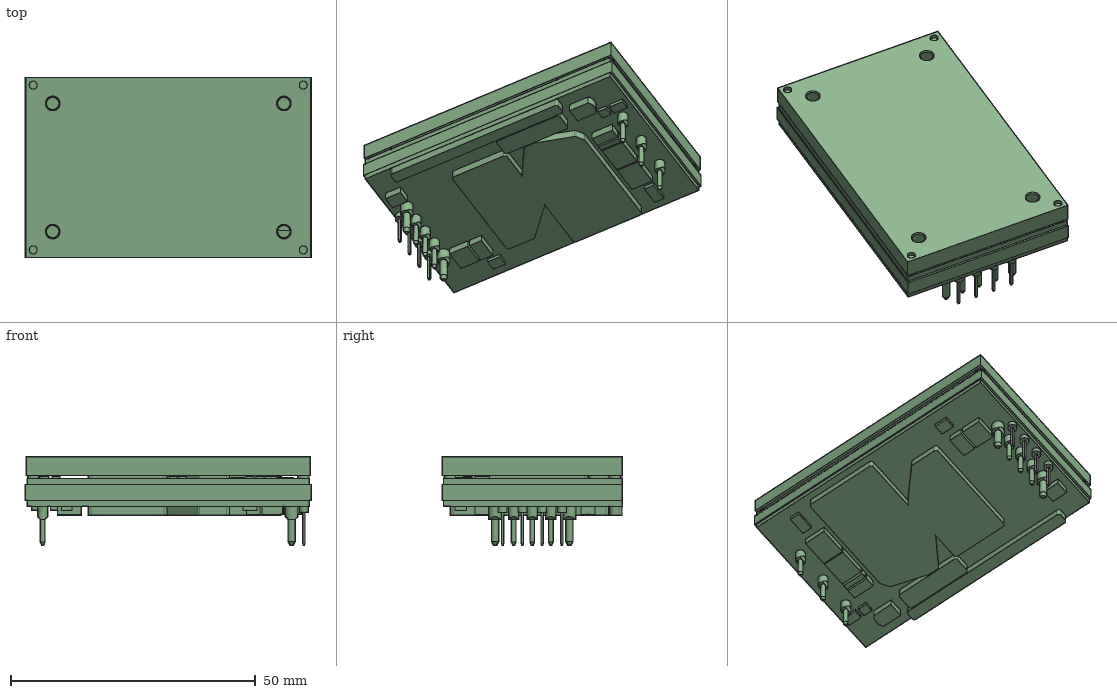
import cadquery as cq


overall_height = 18.1
middle_length = 58.4
middle_width = 36.8
middle_thickness = 3.25
plate_length = 58.0
plate_width = middle_width
plate_thickness = 3.85
board_length = 57.6
board_width = 36.55
board_thickness = 1.2
gap = 0.6

board_y = (middle_width - board_width) / 2

middle_bottom = board_thickness
upper_bottom = middle_bottom + middle_thickness
upper_top = upper_bottom + board_thickness
plate_bottom = upper_top + gap
plate_top = plate_bottom + plate_thickness

mount_x = 23.6
mount_y = 13.1
mount_diameter = 2.5
mount_chamfer = 0.25
chamfer_angle = 90.0
post_x = 27.55
post_y = 16.8
post_diameter = 2.35
blind_diameter = 1.65
blind_depth = 0.75

core_depth = 1.8
core_round = 0.6
core_left = -16.35
core_front = -16.75
core_side = 11.4
main_right = -0.3
side_left = 6.15
side_right = 12.5
side_front = -11.7
back_leg_right = 23.0
back_leg_front = 15.8
back_leg_back = 18.35
middle_leg_left = -15.2
middle_leg_front = 11.55
middle_leg_back = 15.65
main_core = [
    (core_left, core_front),
    (main_right, core_front),
    (main_right, 4.7),
    (-4.7, core_side),
    (-7.0, core_side),
    (-15.2, 8.9),
    (core_left, 7.0),
]
side_core = [
    (side_left, side_front),
    (side_right, side_front),
    (side_right, core_side),
    (main_right, core_side),
    (main_right, -4.7),
]
back_leg = [
    (core_left, back_leg_front),
    (back_leg_right, back_leg_front),
    (back_leg_right, back_leg_back),
    (core_left, back_leg_back),
]
middle_leg = [
    (middle_leg_left, middle_leg_front),
    (main_right, middle_leg_front),
    (main_right, middle_leg_back),
    (middle_leg_left, middle_leg_back),
]
core_outlines = [main_core, side_core, middle_leg, back_leg]

chip_height = 0.4
chips = [
    (-26.2, -24.35, 15.0, 16.95),
    (-23.7, -22.15, 1.65, 3.25),
    (0.25, 1.8, -14.0, -12.25),
    (2.05, 3.7, -14.0, -12.25),
    (15.8, 17.45, -11.7, -8.75),
    (17.85, 19.5, -11.7, -8.75),
    (19.85, 23.1, -11.7, -8.75),
]
film_height = 0.205
films = [
    (12.85, 15.55, -14.0, -12.25),
    (22.2, 25.6, -16.35, -12.9),
]
resistor_depth = 0.8
resistors = [
    (-27.9, -24.8, 9.75, 11.7),
    (-24.05, -22.1, 9.75, 11.7),
    (-21.85, -19.7, -15.95, -11.7),
    (15.3, 18.15, -15.75, -13.45),
]
capacitor_depth = 1.65
capacitors = [
    (-22.6, -17.8, -9.85, -3.75),
    (-22.6, -17.8, -3.5, 2.5),
    (15.95, 18.75, -11.7, -7.0),
    (19.15, 23.4, -11.7, -7.0),
    (23.65, 27.15, 9.9, 12.85),
]
tall_capacitors = [
    (-22.6, -17.8, 2.9, 4.0),
    (-22.6, -17.8, 4.4, 6.6),
]
coil_nose = -22.65
coil_left = -22.1
coil_right = -17.7
coil_y = 14.0
coil_width = 3.25

pin_depth = overall_height - plate_top
left_pin_x = -25.65
right_pin_x = 25.15
pin_pitch = 3.8
outer_pin_y = 2 * pin_pitch
collar_depth = 2.6
thin_pin_diameter = 1.0
thin_collar_diameter = 2.1
thin_tip_length = 0.65
thin_tip_inset = 0.3
thick_pin_diameter = 1.5
thick_collar_diameter = 2.6
thick_tip_length = 0.8
thick_tip_inset = 0.4

signal_x = 27.7
signal_pitch = 6.9
signal_size = 0.495
signal_tip_length = 0.4
signal_tip_inset = 0.1
socket_diameter = 1.8
socket_depth = 1.2


def layer(size_x, size_y, thickness, bottom, center_y=0):
    """Rectangular slab centred on X."""
    return cq.Workplane("XY", origin=(0, center_y, bottom)).rect(size_x, size_y).extrude(thickness)


def corners(x, y):
    """One point in each quadrant."""
    return [(sx * x, sy * y) for sx in (-1, 1) for sy in (-1, 1)]


def block(footprint, base, height):
    """Box on a footprint; a negative height makes it hang below the base."""
    x_start, x_end, y_start, y_end = footprint
    sketch = cq.Workplane("XY", origin=((x_start + x_end) / 2, (y_start + y_end) / 2, base))
    return sketch.rect(x_end - x_start, y_end - y_start).extrude(height)


def cores(base, height):
    """The ferrite cores, with rounded upright edges."""
    return [
        cq.Workplane("XY", origin=(0, 0, base))
        .polyline(outline)
        .close()
        .extrude(height)
        .edges("|Z")
        .fillet(core_round)
        for outline in core_outlines
    ]


def coil():
    """Hanging coil, a block with a bowed -X face."""
    half = coil_width / 2
    return (
        cq.Workplane("XY")
        .moveTo(coil_left, coil_y - half)
        .lineTo(coil_right, coil_y - half)
        .lineTo(coil_right, coil_y + half)
        .lineTo(coil_left, coil_y + half)
        .threePointArc((coil_nose, coil_y), (coil_left, coil_y - half))
        .close()
        .extrude(-core_depth)
    )


def power_pin(x, y, pin_diameter, collar_diameter, tip_length, tip_inset):
    """Round pin with a tapered tip, hanging from a collar with two slanted flats."""
    pin = (
        cq.Workplane("XY")
        .circle(pin_diameter / 2)
        .extrude(-pin_depth)
        .faces("<Z")
        .chamfer(tip_length, tip_inset)
    )
    collar = cq.Workplane("XY").circle(collar_diameter / 2).extrude(-collar_depth)
    outer = collar_diameter / 2
    inner = pin_diameter / 2
    flat_top = -collar_depth + (outer - inner)
    flats = (
        cq.Workplane("XZ")
        .polyline([
            (-outer, 0),
            (outer, 0),
            (outer, flat_top),
            (inner, -collar_depth),
            (-inner, -collar_depth),
            (-outer, flat_top),
        ])
        .close()
        .extrude(outer, both=True)
    )
    return collar.intersect(flats).union(pin).translate((x, y, 0))


def thin_pin(x, y):
    return power_pin(x, y, thin_pin_diameter, thin_collar_diameter, thin_tip_length, thin_tip_inset)


def thick_pin(x, y):
    return power_pin(x, y, thick_pin_diameter, thick_collar_diameter, thick_tip_length, thick_tip_inset)


def signal_pin(y):
    """Square pin with a bevelled tip in its round socket."""
    pin = (
        cq.Workplane("XY")
        .rect(signal_size, signal_size)
        .extrude(-pin_depth)
        .faces("<Z")
        .chamfer(signal_tip_length, signal_tip_inset)
    )
    socket = cq.Workplane("XY").circle(socket_diameter / 2).extrude(-socket_depth)
    return socket.union(pin).translate((signal_x, y, 0))


def make_cover_plate():
    """Thick plate on four corner posts that rest on the upper board."""
    plate = layer(plate_length, plate_width, plate_thickness, plate_bottom)
    plate = (
        plate.faces(">Z")
        .workplane(origin=(0, 0, 0))
        .pushPoints(corners(mount_x, mount_y))
        .cskHole(mount_diameter, mount_diameter + 2 * mount_chamfer, chamfer_angle)
    )
    posts = (
        cq.Workplane("XY", origin=(0, 0, upper_top))
        .pushPoints(corners(post_x, post_y))
        .circle(post_diameter / 2)
        .extrude(gap)
    )
    blind_holes = (
        cq.Workplane("XY", origin=(0, 0, plate_top))
        .pushPoints(corners(post_x, post_y))
        .circle(blind_diameter / 2)
        .extrude(-blind_depth)
    )
    return plate.union(posts).cut(blind_holes)


def make_upper_board():
    """Board with the core tops, which touch the cover plate, and low parts."""
    parts = cores(upper_top, gap)
    parts += [block(chip, upper_top, chip_height) for chip in chips]
    parts += [block(film, upper_top, film_height) for film in films]
    board = layer(board_length, board_width, board_thickness, upper_bottom, board_y)
    for part in parts:
        board = board.union(part)
    return board


def make_lower_board():
    """Board with the core bottoms, hanging parts and all pins."""
    parts = cores(0, -core_depth)
    parts += [block(resistor, 0, -resistor_depth) for resistor in resistors]
    parts += [block(capacitor, 0, -capacitor_depth) for capacitor in capacitors]
    parts += [block(capacitor, 0, -core_depth) for capacitor in tall_capacitors]
    parts.append(coil())
    parts += [thin_pin(left_pin_x, y) for y in (-outer_pin_y, 0, outer_pin_y)]
    parts += [thin_pin(right_pin_x, y) for y in (-pin_pitch, 0, pin_pitch)]
    parts += [thick_pin(right_pin_x, y) for y in (-outer_pin_y, outer_pin_y)]
    parts += [signal_pin(step * signal_pitch) for step in (-0.9, -0.3, 0.3, 0.9)]
    board = layer(board_length, board_width, board_thickness, 0, board_y)
    for part in parts:
        board = board.union(part)
    return board


cover_plate = make_cover_plate()
upper_board = make_upper_board()
middle_plate = layer(middle_length, middle_width, middle_thickness, middle_bottom)
lower_board = make_lower_board()

result = cq.Compound.makeCompound([
    cover_plate.solids().val(),
    upper_board.solids().val(),
    middle_plate.val(),
    lower_board.solids().val(),
])